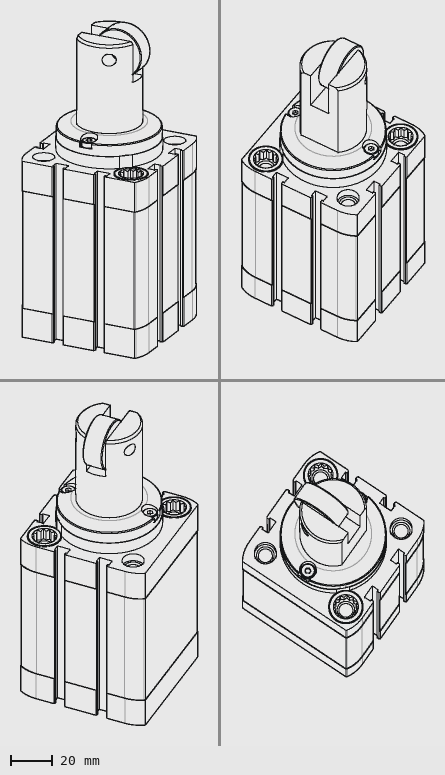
import cadquery as cq
import math


HOUSING_WIDTH = 65.5
HOUSING_HEIGHT = 90.5
END_CAP_BOTTOM_HEIGHT = 14.9
END_CAP_TOP_HEIGHT = 15.3
BARREL_INSET = 0.23
CORNER_LENGTH = 9.5
CORNER_DEPTH = 2.5
CORNER_FLAT = 0.5
COLLAR_DIAMETER = 51.0
COLLAR_HEIGHT = 6.2

SLOT_OFFSET = 11.0
SLOT_DEPTH = 5.0
SLOT_LIP = 1.5
SLOT_MOUTH_WIDTH = 5.0
SLOT_MOUTH_CHAMFER = 0.5
SLOT_INNER_WIDTH = 6.7

MOUNT_OFFSET = 23.2
MOUNT_HOLE_DIAMETER = 6.7
MOUNT_LEAD_IN_DIAMETER = 8.4
RECESS_DIAMETER = 10.5
RECESS_DEPTH = 4.0
SOCKET_DIAMETER = 12.0
SOCKET_ROOT_DIAMETER = 9.9
SOCKET_POINT_COUNT = 12
SOCKET_DEPTH = 6.0
SEAT_DIAMETER = 16.5
SEAT_GROOVE = 0.5

COVER_DIAMETER = 50.5
COVER_SIDE_HEIGHT = 6.0
COVER_HEIGHT = 8.0
COVER_EDGE = 0.5
COVER_TOP_DIAMETER = 36.6

SCREW_OFFSET = 21.4
SCREW_RECESS_DIAMETER = 8.0
SCREW_RECESS_OPENING = 6.4
SCREW_HEAD_DIAMETER = 7.0
SCREW_FACE_DIAMETER = 6.2
SCREW_HEAD_HEIGHT = 2.8
SCREW_FLOOR_HEIGHT = 3.3
SCREW_KEY_WIDTH = 2.5
SCREW_KEY_DEPTH = 1.5

ROD_DIAMETER = 32.0
ROD_TOP = 150.0
ROD_FLAT_OFFSET = 12.1
ROD_CHAMFER_HEIGHT = 1.4
ROD_CHAMFER_WIDTH = 1.0
FORK_WIDTH = 10.0
FORK_BOTTOM = 129.3

TOTAL_HEIGHT = 155.0
ROLLER_DIAMETER = 25.0
ROLLER_OFFSET = 7.0
ROLLER_CHAMFER = 0.5
AXLE_HOLE_DIAMETER = 6.0

COVER_BOTTOM = HOUSING_HEIGHT + COLLAR_HEIGHT
COVER_TOP = COVER_BOTTOM + COVER_HEIGHT
SCREW_FLOOR = COVER_BOTTOM + SCREW_FLOOR_HEIGHT
ROLLER_AXIS_HEIGHT = TOTAL_HEIGHT - ROLLER_DIAMETER / 2

SOCKET_CORNERS = [(-MOUNT_OFFSET, MOUNT_OFFSET), (MOUNT_OFFSET, -MOUNT_OFFSET)]
PLAIN_CORNERS = [(MOUNT_OFFSET, MOUNT_OFFSET), (-MOUNT_OFFSET, -MOUNT_OFFSET)]
SCREW_POINTS = [(0, -SCREW_OFFSET), (0, SCREW_OFFSET)]


def cylinder(diameter, bottom, top, center=(0, 0)):
    """Upright cylinder between two levels."""
    return cq.Workplane("XY", origin=(*center, bottom)).circle(diameter / 2).extrude(top - bottom)


def cone(bottom_diameter, top_diameter, bottom, top, center):
    """Upright truncated cone between two levels."""
    return cq.Workplane(
        cq.Solid.makeCone(bottom_diameter / 2, top_diameter / 2, top - bottom, cq.Vector(*center, bottom))
    )


def rounded_square(half, bottom, top):
    """Square block whose corners curve away from the -X and +X sides."""
    arc_height = CORNER_LENGTH - CORNER_FLAT
    radius = (arc_height**2 + CORNER_DEPTH**2) / (2 * CORNER_DEPTH)
    half_angle = math.asin(arc_height / radius) / 2
    side_end = half - CORNER_LENGTH
    arc_middle = (
        half - radius * (1 - math.cos(half_angle)),
        side_end + radius * math.sin(half_angle),
    )
    arc_end = (half - CORNER_DEPTH, half - CORNER_FLAT)
    quarter = (
        cq.Workplane("XY", origin=(0, 0, bottom))
        .lineTo(half, 0)
        .lineTo(half, side_end)
        .threePointArc(arc_middle, arc_end)
        .line(-CORNER_FLAT, CORNER_FLAT)
        .lineTo(0, half)
        .close()
        .extrude(top - bottom)
    )
    right_half = quarter.union(quarter.mirror("XZ"))
    return right_half.union(right_half.mirror("YZ")).clean()


def t_slot(offset, angle):
    """T-slot cutter for the -Y side, turned about the axis onto another side."""
    mouth = SLOT_MOUTH_WIDTH / 2
    inner = SLOT_INNER_WIDTH / 2
    half_outline = [
        (mouth + SLOT_MOUTH_CHAMFER, 0),
        (mouth, SLOT_MOUTH_CHAMFER),
        (mouth, SLOT_LIP),
        (inner, SLOT_LIP),
        (inner, SLOT_DEPTH),
    ]
    mirrored = [(-x, y) for x, y in reversed(half_outline)]
    slot = (
        cq.Workplane("XY", origin=(offset, -HOUSING_WIDTH / 2, 0))
        .polyline(half_outline + mirrored)
        .close()
        .extrude(HOUSING_HEIGHT)
    )
    return slot.rotate((0, 0, 0), (0, 0, 1), angle)


def mount_hole(center, floor):
    """Through hole with a chamfer where it meets the floor above it."""
    lead_in = (MOUNT_LEAD_IN_DIAMETER - MOUNT_HOLE_DIAMETER) / 2
    hole = cylinder(MOUNT_HOLE_DIAMETER, 0, floor, center)
    return hole.union(cone(MOUNT_HOLE_DIAMETER, MOUNT_LEAD_IN_DIAMETER, floor - lead_in, floor, center))


def plain_corner(center):
    """Cutter for a mounting hole with a round recess."""
    floor = HOUSING_HEIGHT - RECESS_DEPTH
    return mount_hole(center, floor).union(cylinder(RECESS_DIAMETER, floor, HOUSING_HEIGHT, center))


def socket_corner(center):
    """Cutter for a mounting hole with a twelve-point socket and a grooved round seat."""
    floor = HOUSING_HEIGHT - SOCKET_DEPTH
    star_points = []
    for index in range(2 * SOCKET_POINT_COUNT):
        radius = (SOCKET_ROOT_DIAMETER if index % 2 else SOCKET_DIAMETER) / 2
        angle = math.pi * index / SOCKET_POINT_COUNT
        star_points.append((radius * math.cos(angle), radius * math.sin(angle)))
    star = cq.Workplane("XY", origin=(*center, floor)).polyline(star_points).close().extrude(SOCKET_DEPTH)
    lead_in_height = (SOCKET_DIAMETER - SOCKET_ROOT_DIAMETER) / 2
    lead_in = cone(
        SOCKET_ROOT_DIAMETER, SOCKET_DIAMETER, HOUSING_HEIGHT - lead_in_height, HOUSING_HEIGHT, center
    )
    groove_bottom = HOUSING_HEIGHT - SEAT_GROOVE
    groove = cylinder(SEAT_DIAMETER, groove_bottom, HOUSING_HEIGHT, center).cut(
        cone(SEAT_DIAMETER, SEAT_DIAMETER - 2 * SEAT_GROOVE, groove_bottom, HOUSING_HEIGHT, center)
    )
    collar_clearance = cylinder(SEAT_DIAMETER, HOUSING_HEIGHT, COVER_BOTTOM, center)
    return mount_hole(center, floor).union(star).union(lead_in).union(groove).union(collar_clearance)


def make_housing():
    barrel_top = HOUSING_HEIGHT - END_CAP_TOP_HEIGHT
    half = HOUSING_WIDTH / 2
    housing = (
        rounded_square(half, 0, END_CAP_BOTTOM_HEIGHT)
        .union(rounded_square(half - BARREL_INSET, END_CAP_BOTTOM_HEIGHT, barrel_top))
        .union(rounded_square(half, barrel_top, HOUSING_HEIGHT))
        .union(cylinder(COLLAR_DIAMETER, HOUSING_HEIGHT, COVER_BOTTOM))
    )
    for angle in (-90, 0, 90):
        for offset in (-SLOT_OFFSET, SLOT_OFFSET):
            housing = housing.cut(t_slot(offset, angle))
    for center in PLAIN_CORNERS:
        housing = housing.cut(plain_corner(center))
    for center in SOCKET_CORNERS:
        housing = housing.cut(socket_corner(center))
    return housing


def rod_blank(bottom, top):
    """Round bar with a flat on its -X side."""
    bar = cylinder(ROD_DIAMETER, bottom, top)
    beyond_flat = cq.Workplane("XY", origin=(-ROD_FLAT_OFFSET, 0, bottom)).box(
        ROD_DIAMETER, ROD_DIAMETER, top - bottom, centered=(False, True, False)
    )
    return bar.intersect(beyond_flat)


def make_cover():
    radius = COVER_DIAMETER / 2
    cover = (
        cq.Workplane("XZ", origin=(0, 0, COVER_BOTTOM))
        .lineTo(radius, 0)
        .lineTo(radius, COVER_SIDE_HEIGHT - COVER_EDGE)
        .lineTo(radius - COVER_EDGE, COVER_SIDE_HEIGHT)
        .lineTo(COVER_TOP_DIAMETER / 2, COVER_HEIGHT)
        .lineTo(0, COVER_HEIGHT)
        .close()
        .revolve(360, (0, 0, 0), (0, 1, 0))
    )
    cover = cover.cut(rod_blank(COVER_BOTTOM, COVER_TOP))
    for center in SCREW_POINTS:
        opening_middle = math.copysign(SCREW_OFFSET + radius / 2, center[1])
        opening = cq.Workplane("XY", origin=(0, opening_middle, SCREW_FLOOR)).box(
            SCREW_RECESS_OPENING, radius, COVER_HEIGHT, centered=(True, True, False)
        )
        cover = cover.cut(cylinder(SCREW_RECESS_DIAMETER, SCREW_FLOOR, COVER_TOP, center))
        cover = cover.cut(opening)
    return cover


def make_cover_screw(center):
    """Screw head with a chamfered rim and a hexagon socket."""
    head = cylinder(SCREW_HEAD_DIAMETER, SCREW_FLOOR, SCREW_FLOOR + SCREW_HEAD_HEIGHT, center)
    head = head.faces(">Z").chamfer((SCREW_HEAD_DIAMETER - SCREW_FACE_DIAMETER) / 2)
    key_floor = SCREW_FLOOR + SCREW_HEAD_HEIGHT - SCREW_KEY_DEPTH
    key = (
        cq.Workplane("XY", origin=(*center, key_floor))
        .polygon(6, SCREW_KEY_WIDTH, circumscribed=True)
        .extrude(SCREW_KEY_DEPTH)
    )
    return head.cut(key)


def make_rod():
    rod = rod_blank(COVER_BOTTOM, ROD_TOP)
    chamfered_bar = (
        cylinder(ROD_DIAMETER, COVER_BOTTOM, ROD_TOP)
        .faces(">Z")
        .chamfer(ROD_CHAMFER_HEIGHT, ROD_CHAMFER_WIDTH)
    )
    rod = rod.intersect(chamfered_bar)
    fork = cq.Workplane("XY", origin=(0, 0, FORK_BOTTOM)).box(
        ROD_DIAMETER, FORK_WIDTH, ROD_TOP - FORK_BOTTOM, centered=(True, True, False)
    )
    axle_hole = (
        cq.Workplane("XZ", origin=(ROLLER_OFFSET, 0, ROLLER_AXIS_HEIGHT))
        .circle(AXLE_HOLE_DIAMETER / 2)
        .extrude(ROD_DIAMETER / 2, both=True)
    )
    return rod.cut(fork).cut(axle_hole)


def make_roller():
    """Roller that fills the width of the fork."""
    return (
        cq.Workplane("XZ", origin=(ROLLER_OFFSET, FORK_WIDTH / 2, ROLLER_AXIS_HEIGHT))
        .circle(ROLLER_DIAMETER / 2)
        .extrude(FORK_WIDTH)
        .faces("<Y or >Y")
        .chamfer(ROLLER_CHAMFER)
    )


housing = make_housing()
cover = make_cover()
cover_screws = [make_cover_screw(center) for center in SCREW_POINTS]
rod = make_rod()
roller = make_roller()

result = cq.Compound.makeCompound(
    [
        housing.val(),
        cover.val(),
        *[screw.val() for screw in cover_screws],
        rod.val(),
        roller.val(),
    ]
)